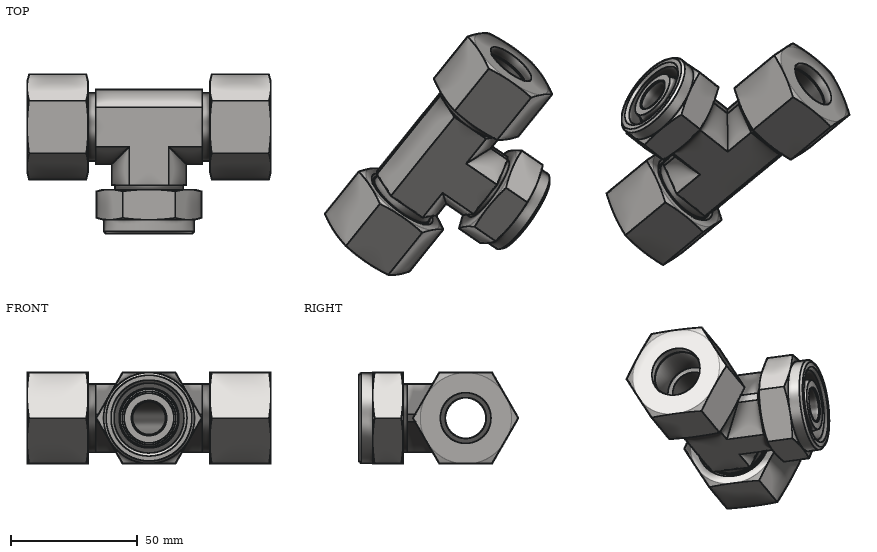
import cadquery as cq
import math


block_across_flats = 27.0
block_depth = 29.5
run_block_half_length = 21.0
branch_block_reach = 23.0
neck_radius = 13.5

run_bore_radius = 8.0
branch_bore_radius = 6.5
branch_bore_chamfer = 0.45

nut_across_flats = 36.0
nut_corner_radius = nut_across_flats / math.sqrt(3)
nut_chamfer_angle = 15.0
nut_face_radius = nut_across_flats / 2
thread_radius = 13.8
mouth_radius = 15.0
mouth_depth = 1.2

overall_length = 96.0
run_nut_length = 24.0
run_nut_outer_x = overall_length / 2
run_nut_inner_x = run_nut_outer_x - run_nut_length
run_nut_wall = 3.7
run_thread_inset = 0.2
run_thread_start = run_nut_inner_x + run_thread_inset
run_end_gap = 0.5
run_end_x = run_nut_outer_x - run_nut_wall - run_end_gap
tube_radius = 10.0
tube_stop_x = 28.0

overall_width = 62.98
swivel_front = overall_width - nut_corner_radius
swivel_collar_length = 5.6
swivel_hex_length = 11.9
swivel_hex_front = swivel_front - swivel_collar_length
swivel_back = swivel_hex_front - swivel_hex_length
swivel_collar_radius = 17.9
swivel_collar_chamfer = 1.0

cone_half_angle = 12.0
cone_slope = math.tan(math.radians(cone_half_angle))
cone_tip_radius = 9.8
cone_base_radius = 11.8
cone_tip_recess = 0.6
cone_tip = swivel_front - cone_tip_recess
cone_base = cone_tip - (cone_base_radius - cone_tip_radius) / cone_slope

ring_section_radius = 1.0
ring_setback = 4.5
ring_sink = 0.4
ring_position = cone_tip - ring_setback
ring_centre_radius = cone_tip_radius + ring_setback * cone_slope - ring_sink


def along_run(shape):
    """Turn a shape built along +Z so that it points along +X, its X axis going to +Y."""
    return shape.rotate((0, 0, 0), (0, 0, 1), 90).rotate((0, 0, 0), (0, 1, 0), 90)


def along_branch(shape):
    """Turn a shape built along +Z so that it points along -Y."""
    return shape.rotate((0, 0, 0), (1, 0, 0), 90)


def cylinder(radius, start, end):
    return cq.Workplane("XY").workplane(offset=start).circle(radius).extrude(end - start)


def hexagonal_prism(across_flats, start, end):
    """Hexagon with corners on X."""
    corner_diameter = 2 * across_flats / math.sqrt(3)
    return cq.Workplane("XY").workplane(offset=start).polygon(6, corner_diameter).extrude(end - start)


def revolved(profile):
    """Revolve (radius, height) points about Z."""
    return cq.Workplane("XZ").polyline(profile).close().revolve(360, (0, 0), (0, 1))


def block_bar(start, end):
    """Hexagonal bar with its X corners milled flat."""
    bar = hexagonal_prism(block_across_flats, start, end)
    mill = cq.Workplane("XY").workplane(offset=start).rect(block_depth, block_across_flats)
    return bar.intersect(mill.extrude(end - start))


def nut_hexagon(start, end):
    """Hexagon with corners on X, chamfered at both ends by shallow cones."""
    drop = (nut_corner_radius - nut_face_radius) * math.tan(math.radians(nut_chamfer_angle))
    hexagon = hexagonal_prism(nut_across_flats, start, end)
    envelope = revolved([
        (0, start),
        (nut_face_radius, start),
        (nut_corner_radius, start + drop),
        (nut_corner_radius, end - drop),
        (nut_face_radius, end),
        (0, end),
    ])
    return hexagon.intersect(envelope)


def make_ring():
    ring = cq.Solid.makeTorus(ring_centre_radius, ring_section_radius, cq.Vector(0, 0, ring_position))
    return along_branch(cq.Workplane("XY").newObject([ring]))


def make_branch():
    """Branch block, neck and sealing cone."""
    cone = revolved([
        (0, swivel_back),
        (cone_base_radius, swivel_back),
        (cone_base_radius, cone_base),
        (cone_tip_radius, cone_tip),
        (0, cone_tip),
    ])
    neck = cylinder(neck_radius, branch_block_reach, swivel_back)
    return along_branch(block_bar(0, branch_block_reach).union(neck).union(cone))


def make_run_end():
    """Neck and threaded end for one side of the run."""
    neck = cylinder(neck_radius, run_block_half_length, run_thread_start)
    return along_run(neck.union(cylinder(thread_radius, run_thread_start, run_end_x)))


def mirrored_pair(shape):
    return [shape, shape.mirror("YZ")]


def make_tee():
    tee = along_run(block_bar(-run_block_half_length, run_block_half_length)).union(make_branch())
    for run_end in mirrored_pair(make_run_end()):
        tee = tee.union(run_end)
    tee = tee.cut(along_run(cylinder(run_bore_radius, -run_end_x, run_end_x)))
    for socket in mirrored_pair(along_run(cylinder(tube_radius, tube_stop_x, run_end_x))):
        tee = tee.cut(socket)
    branch_bore = revolved([
        (0, 0),
        (branch_bore_radius, 0),
        (branch_bore_radius, cone_tip - branch_bore_chamfer),
        (branch_bore_radius + branch_bore_chamfer, cone_tip),
        (0, cone_tip),
    ])
    return tee.cut(along_branch(branch_bore)).cut(make_ring())


def make_run_nut():
    """Nut on the +X end; its outer wall has a hole for the tube."""
    nut = nut_hexagon(run_nut_inner_x, run_nut_outer_x)
    cavity = revolved([
        (0, run_nut_inner_x),
        (mouth_radius, run_nut_inner_x),
        (thread_radius, run_nut_inner_x + mouth_depth),
        (thread_radius, run_nut_outer_x - run_nut_wall),
        (tube_radius, run_nut_outer_x - run_nut_wall),
        (tube_radius, run_nut_outer_x),
        (0, run_nut_outer_x),
    ])
    return along_run(nut.cut(cavity))


def make_swivel_nut():
    collar = cylinder(swivel_collar_radius, swivel_hex_front, swivel_front)
    collar = collar.faces(">Z").chamfer(swivel_collar_chamfer)
    cavity = revolved([
        (0, swivel_back),
        (cone_base_radius, swivel_back),
        (cone_base_radius, cone_base),
        (thread_radius, cone_base),
        (thread_radius, swivel_front - mouth_depth),
        (mouth_radius, swivel_front),
        (0, swivel_front),
    ])
    return along_branch(nut_hexagon(swivel_back, swivel_hex_front).union(collar).cut(cavity))


tee = make_tee()
run_nuts = mirrored_pair(make_run_nut())
swivel_nut = make_swivel_nut()
sealing_ring = make_ring()

result = cq.Compound.makeCompound([
    tee.val(),
    *[nut.val() for nut in run_nuts],
    swivel_nut.val(),
    sealing_ring.val(),
])